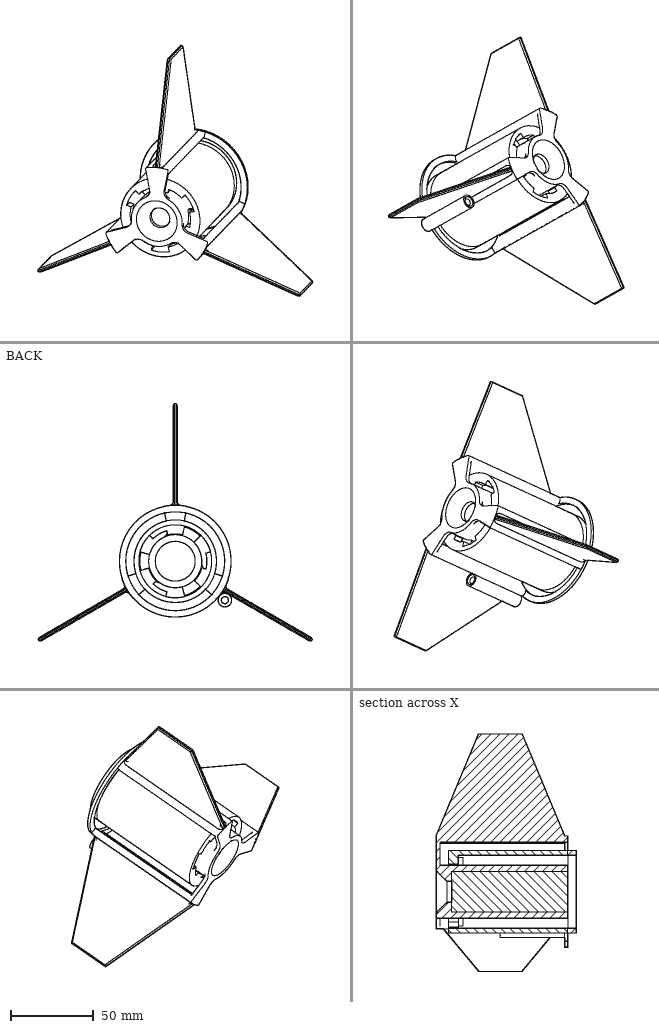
import cadquery as cq
import math


ARM_COUNT = 3
ARM_STEP = 360 / ARM_COUNT
CAN_RADIUS = 34.0
RING_RADIUS = 33.9
RING_BORE_DIAMETER = 59.8
PLATE_THICKNESS = 2.5
RAIL_LENGTH = 77.8
RING_THICKNESS = 2.0
CAN_LENGTH = RAIL_LENGTH + RING_THICKNESS
ARM_ROOT_RADIUS = 13.3
ARM_ROOT_HALF_WIDTH = 3.3
ARM_FLARE = 0.2
ARM_EDGE_FILLET = 1.0
RAIL_EDGE_FILLET = 1.0
ARM_HUB_FILLET = 5.0

HUB_DIAMETER = 32.2
MOUTH_DIAMETER = 25.7
THROAT_DIAMETER = 12.5
MOUTH_DEPTH = (MOUTH_DIAMETER - THROAT_DIAMETER) / 2
THROAT_LENGTH = 2.8
MOTOR_START = MOUTH_DEPTH + THROAT_LENGTH
MOTOR_BORE_DIAMETER = 24.2
MOTOR_DIAMETER = 24.0

FIN_MIDDLE = RAIL_LENGTH / 2
FIN_TIP_RADIUS = 95.6
FIN_THICKNESS = 2.5
FIN_TIP_CHORD = 26.5
FIN_TIP_BEVEL = 2.0
FIN_TIP_STEP = 0.8
FIN_STEP_THICKNESS = 2.2
FIN_TIP_THICKNESS = 0.8
FIN_EDGE_CHAMFER = 0.8
FIN_ROOT_FILLET = 2.0
FIN_ROOT_SINK = 1.7

TUBE_DIAMETER = 50.1
TUBE_START = 7.5
TUBE_END = CAN_LENGTH
COLLAR_LENGTH = 5.1
TUBE_BORE_DIAMETER = 44.2
FLANGE_THICKNESS = 6.0
FLANGE_BORE_DIAMETER = 33.2
SLOT_DIAMETER = 38.2
SLOT_ANGLE = 88.0
BAYONET_ANGLE = 30.0
NOTCH_ANGLE = 60.0
BAYONET_TURN = -30.0
TAB_RADIUS = 21.4
TAB_THICKNESS = 3.0

LUG_DIAMETER = 8.3
LUG_BORE_DIAMETER = 4.1
LUG_MOUTH_DIAMETER = 6.3
LUG_LENGTH = 39.0
LUG_FIN_ANGLE = 120.0


def cylinder(diameter, start, end):
    """Cylinder on the Y axis between two y positions."""
    return cq.Workplane("XZ", origin=(0, start, 0)).circle(diameter / 2).extrude(start - end)


def turned(body, angle):
    """Body turned about Y, counterclockwise as seen from -Y."""
    return body.rotate((0, 0, 0), (0, 1, 0), -angle)


def sector(radius, angle, start, end):
    """Wedge of a disc centred on +Z, between two y positions."""
    half = math.radians(angle / 2)
    x = radius * math.sin(half)
    z = radius * math.cos(half)
    outline = cq.Workplane("XZ", origin=(0, start, 0)).lineTo(-x, z).threePointArc((0, radius), (x, z))
    return outline.close().extrude(start - end)


def arm_prism(length):
    """Flared arm along +Z, ending on the can radius with rounded outer edges."""
    def half_width(radius):
        return ARM_ROOT_HALF_WIDTH + ARM_FLARE * (radius - ARM_ROOT_RADIUS)

    beyond = CAN_RADIUS + 1.7
    blank = (
        cq.Workplane("XZ")
        .moveTo(-half_width(ARM_ROOT_RADIUS), ARM_ROOT_RADIUS)
        .lineTo(-half_width(beyond), beyond)
        .lineTo(half_width(beyond), beyond)
        .lineTo(half_width(ARM_ROOT_RADIUS), ARM_ROOT_RADIUS)
        .close()
        .extrude(-length)
    )
    arm = blank.intersect(cylinder(2 * CAN_RADIUS, 0, length))
    return arm.edges("|Y").edges(">Z or >X or <X").fillet(ARM_EDGE_FILLET)


def make_spider():
    """Front plate: the hub disc with its arms blended in."""
    spider = cylinder(HUB_DIAMETER, 0, PLATE_THICKNESS)
    for index in range(ARM_COUNT):
        spider = spider.union(turned(arm_prism(PLATE_THICKNESS), index * ARM_STEP))
    corner_zone = cq.selectors.BoxSelector((-18.3, -1.7, -18.3), (18.3, PLATE_THICKNESS + 1.7, 18.3))
    return spider.edges("|Y").edges(corner_zone).fillet(ARM_HUB_FILLET)


def make_fin_blade():
    """Trapezoidal blade standing on +Z with bevelled tip and chamfered sloping edges."""
    root = CAN_RADIUS - FIN_ROOT_SINK
    blade = (
        cq.Workplane("YZ", origin=(-FIN_THICKNESS / 2, 0, 0))
        .moveTo(0, root)
        .lineTo(0, CAN_RADIUS)
        .lineTo(FIN_MIDDLE - FIN_TIP_CHORD / 2, FIN_TIP_RADIUS)
        .lineTo(FIN_MIDDLE + FIN_TIP_CHORD / 2, FIN_TIP_RADIUS)
        .lineTo(RAIL_LENGTH, CAN_RADIUS)
        .lineTo(RAIL_LENGTH, root)
        .close()
        .extrude(FIN_THICKNESS)
    )
    sloping = cq.selectors.BoxSelector(
        (-FIN_THICKNESS, -1.7, CAN_RADIUS + 1.7),
        (FIN_THICKNESS, RAIL_LENGTH + 1.7, FIN_TIP_RADIUS - 1.7),
    )
    blade = blade.edges(sloping).chamfer(FIN_EDGE_CHAMFER)
    return blade.intersect(fin_section())


def fin_section():
    """Constant fin section with a two-step bevel towards the tip."""
    right_side = [
        (FIN_THICKNESS / 2, 0),
        (FIN_THICKNESS / 2, FIN_TIP_RADIUS - FIN_TIP_BEVEL),
        (FIN_STEP_THICKNESS / 2, FIN_TIP_RADIUS - FIN_TIP_STEP),
        (FIN_TIP_THICKNESS / 2, FIN_TIP_RADIUS),
    ]
    left_side = [(-x, z) for x, z in reversed(right_side)]
    return cq.Workplane("XZ").polyline(right_side + left_side).close().extrude(-RAIL_LENGTH)


def make_fin_root():
    """Concave flare that blends the blade into the rail and runs round its two ends."""
    foot = FIN_THICKNESS / 2 + FIN_ROOT_FILLET
    top = CAN_RADIUS + FIN_ROOT_FILLET
    sag = FIN_ROOT_FILLET * (1 - math.sqrt(0.5))

    def half_profile(start):
        return (
            cq.Workplane("XZ", origin=(0, start, 0))
            .moveTo(0, CAN_RADIUS - FIN_ROOT_SINK)
            .lineTo(foot, CAN_RADIUS - FIN_ROOT_SINK)
            .lineTo(foot, CAN_RADIUS)
            .threePointArc((FIN_THICKNESS / 2 + sag, CAN_RADIUS + sag), (FIN_THICKNESS / 2, top))
            .lineTo(0, top)
            .close()
        )

    side = half_profile(foot).extrude(2 * foot - RAIL_LENGTH)
    root = side.union(side.mirror("YZ"))
    for end in (foot, RAIL_LENGTH - foot):
        root = root.union(half_profile(end).revolve(360, (0, 0), (0, 1)))
    return root


def make_fin_can():
    """Spider, rails, fins and end ring in one piece, with the hub that carries the bayonet tabs."""
    can = make_spider()
    bore = cylinder(RING_BORE_DIAMETER, 0, CAN_LENGTH)
    inner_edges = cq.selectors.BoxSelector(
        (-CAN_RADIUS, 0, 0),
        (CAN_RADIUS, RAIL_LENGTH, RING_BORE_DIAMETER / 2),
    )
    rail = arm_prism(RAIL_LENGTH).cut(bore)
    rail = rail.edges("|Y").edges(inner_edges).fillet(RAIL_EDGE_FILLET)
    fin = make_fin_blade().union(make_fin_root())
    for index in range(ARM_COUNT):
        can = can.union(turned(rail, index * ARM_STEP))
        can = can.union(turned(fin, index * ARM_STEP))
    can = can.union(cylinder(2 * RING_RADIUS, RAIL_LENGTH, CAN_LENGTH).cut(bore))
    can = can.union(cylinder(HUB_DIAMETER, 0, CAN_LENGTH))
    tab_start = TUBE_START + FLANGE_THICKNESS
    tab = sector(TAB_RADIUS, BAYONET_ANGLE, tab_start, tab_start + TAB_THICKNESS)
    for index in range(ARM_COUNT):
        can = can.union(turned(tab, NOTCH_ANGLE + BAYONET_TURN + index * ARM_STEP))
    return can.cut(nozzle_opening()).cut(cylinder(MOTOR_BORE_DIAMETER, MOTOR_START, CAN_LENGTH))


def nozzle_opening():
    """Conical mouth that narrows to a short cylindrical throat."""
    return (
        cq.Workplane("XY")
        .lineTo(MOUTH_DIAMETER / 2, 0)
        .lineTo(THROAT_DIAMETER / 2, MOUTH_DEPTH)
        .lineTo(THROAT_DIAMETER / 2, MOTOR_START)
        .lineTo(0, MOTOR_START)
        .close()
        .revolve(360, (0, 0), (0, 1))
    )


def make_tube():
    """Tube with a front flange, slotted round the hub and notched to let the bayonet tabs through."""
    flange_end = TUBE_START + FLANGE_THICKNESS
    tube = cylinder(TUBE_DIAMETER, TUBE_START, TUBE_END)
    tube = tube.cut(cylinder(TUBE_BORE_DIAMETER, flange_end, TUBE_END))
    tube = tube.cut(cylinder(FLANGE_BORE_DIAMETER, TUBE_START, flange_end))
    slot = sector(SLOT_DIAMETER / 2, SLOT_ANGLE, TUBE_START, flange_end)
    notch = sector(TUBE_BORE_DIAMETER / 2, BAYONET_ANGLE, TUBE_START, flange_end)
    for index in range(ARM_COUNT):
        tube = tube.cut(turned(slot.union(notch), NOTCH_ANGLE + index * ARM_STEP))
    return tube


def make_collar():
    """Plain ring that continues the tube behind the fin can."""
    end = TUBE_END + COLLAR_LENGTH
    return cylinder(TUBE_DIAMETER, TUBE_END, end).cut(cylinder(TUBE_BORE_DIAMETER, TUBE_END, end))


def make_motor():
    """Plain motor casing that closes the throat."""
    return cylinder(MOTOR_DIAMETER, MOTOR_START, CAN_LENGTH)


def make_launch_lug():
    """Guide tube with a countersunk front mouth, standing on the end ring's front plane."""
    start = RAIL_LENGTH - LUG_LENGTH
    mouth_depth = (LUG_MOUTH_DIAMETER - LUG_BORE_DIAMETER) / 2
    lug = cylinder(LUG_DIAMETER, start, RAIL_LENGTH).cut(cylinder(LUG_BORE_DIAMETER, start, RAIL_LENGTH))
    lug = lug.faces("<Y").edges("%CIRCLE").edges(cq.selectors.RadiusNthSelector(0)).chamfer(mouth_depth)
    axis_radius = CAN_RADIUS + LUG_DIAMETER / 2
    fin_offset = (FIN_THICKNESS + LUG_DIAMETER) / 2
    along_fin = math.sqrt(axis_radius**2 - fin_offset**2)
    lug = lug.translate((-fin_offset, 0, along_fin))
    return turned(lug, LUG_FIN_ANGLE)


fin_can = make_fin_can()
tube = make_tube()
collar = make_collar()
motor = make_motor()
launch_lug = make_launch_lug()

result = cq.Compound.makeCompound(
    [fin_can.val(), tube.val(), collar.val(), motor.val(), launch_lug.val()]
)